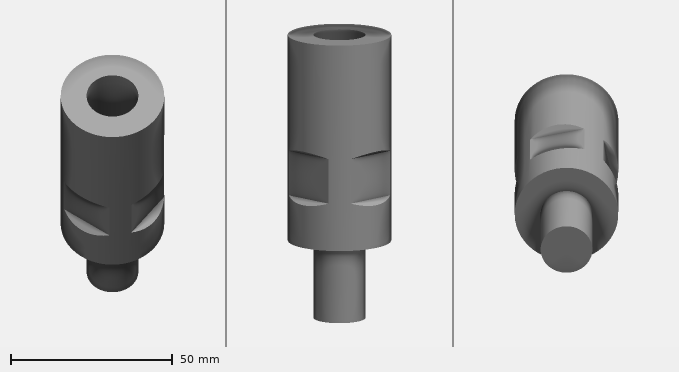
import cadquery as cq
import math

total_length = 89.5
body_diameter = 32.0
stud_diameter = 16.0
stud_length = 24.5

bore_diameter = stud_diameter
bore_depth = stud_length

across_flats = 27.0
flat_bottom = 39.5
flat_height = 14.05
end_slope = 30.0
flat_count = 4

body_radius = body_diameter / 2
flat_distance = across_flats / 2
flat_top = flat_bottom + flat_height


def make_flat_cutter():
    """Trapezoidal prism that cuts the flat on the +X side and flares outward."""
    outer_distance = body_diameter
    flare = (outer_distance - flat_distance) * math.tan(math.radians(end_slope))
    return (
        cq.Workplane("XZ")
        .moveTo(flat_distance, flat_bottom)
        .lineTo(outer_distance, flat_bottom - flare)
        .lineTo(outer_distance, flat_top + flare)
        .lineTo(flat_distance, flat_top)
        .close()
        .extrude(body_radius, both=True)
    )


stud = cq.Workplane("XY").circle(stud_diameter / 2).extrude(stud_length)
body = (
    cq.Workplane("XY")
    .workplane(offset=stud_length)
    .circle(body_radius)
    .extrude(total_length - stud_length)
)
result = stud.union(body)

bore = (
    cq.Workplane("XY")
    .workplane(offset=total_length - bore_depth)
    .circle(bore_diameter / 2)
    .extrude(bore_depth)
)
result = result.cut(bore)

flat_cutter = make_flat_cutter()
for index in range(flat_count):
    angle = index * 360 / flat_count
    result = result.cut(flat_cutter.rotate((0, 0, 0), (0, 0, 1), angle))